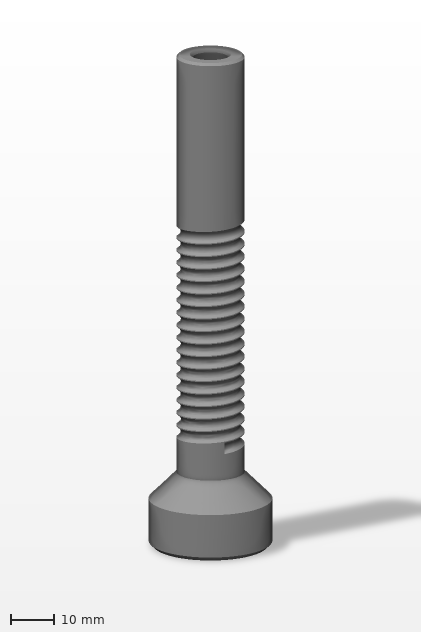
import cadquery as cq
import math

total_length = 117.5
shank_diameter = 15.7
head_diameter = 28.5
head_height = 11.2
head_chamfer = 1.0
top_chamfer = 0.6

bore_diameter = 8.1
bore_depth = 29.4
bore_mouth_chamfer = 0.7
passage_diameter = 4.0
passage_overrun = 3.5

groove_pitch = 3.0
groove_turns = 17.5
groove_depth = 1.0
groove_root_width = 1.8
groove_flank_angle = 50.0
groove_overrun = 0.1
outlet_height = 77.5

shank_radius = shank_diameter / 2
head_radius = head_diameter / 2
shoulder_top = head_height + head_radius - shank_radius


def make_body():
    """Revolve the head, conical shoulder and shank about Z."""
    return (
        cq.Workplane("XZ")
        .lineTo(head_radius - head_chamfer, 0)
        .lineTo(head_radius, head_chamfer)
        .lineTo(head_radius, head_height)
        .lineTo(shank_radius, shoulder_top)
        .lineTo(shank_radius, total_length - top_chamfer)
        .lineTo(shank_radius - top_chamfer, total_length)
        .lineTo(0, total_length)
        .close()
        .revolve(360, (0, 0, 0), (0, 1, 0))
    )


def make_bore():
    """Chamfered bore with a narrow passage down past the side outlet."""
    bore_radius = bore_diameter / 2
    passage_radius = passage_diameter / 2
    bore_floor = total_length - bore_depth
    passage_floor = outlet_height - passage_overrun
    return (
        cq.Workplane("XZ")
        .moveTo(0, passage_floor)
        .lineTo(passage_radius, passage_floor)
        .lineTo(passage_radius, bore_floor)
        .lineTo(bore_radius, bore_floor)
        .lineTo(bore_radius, total_length - bore_mouth_chamfer)
        .lineTo(bore_radius + bore_mouth_chamfer, total_length)
        .lineTo(0, total_length)
        .close()
        .revolve(360, (0, 0, 0), (0, 1, 0))
    )


def make_outlet():
    """Radial hole from the axis out through the -X side."""
    return (
        cq.Workplane("YZ")
        .center(0, outlet_height)
        .circle(passage_diameter / 2)
        .extrude(-head_radius)
    )


def make_groove():
    """Right-handed round-bottomed groove that starts on the +X side."""
    groove_length = groove_pitch * groove_turns
    groove_start = outlet_height - groove_length
    root_radius = shank_radius - groove_depth
    outer_radius = shank_radius + groove_overrun
    half_root = groove_root_width / 2
    flank_angle = math.radians(groove_flank_angle)
    flank_radius = root_radius + half_root * math.tan(flank_angle / 2)
    half_mouth = half_root + (outer_radius - flank_radius) / math.tan(flank_angle)
    helix = cq.Wire.makeHelix(groove_pitch, groove_length, shank_radius)
    return (
        cq.Workplane("XZ")
        .moveTo(outer_radius, -half_mouth)
        .lineTo(flank_radius, -half_root)
        .threePointArc((root_radius, 0), (flank_radius, half_root))
        .lineTo(outer_radius, half_mouth)
        .close()
        .sweep(cq.Workplane(helix), isFrenet=True)
        .translate((0, 0, groove_start))
    )


result = make_body().cut(make_groove()).cut(make_bore()).cut(make_outlet())